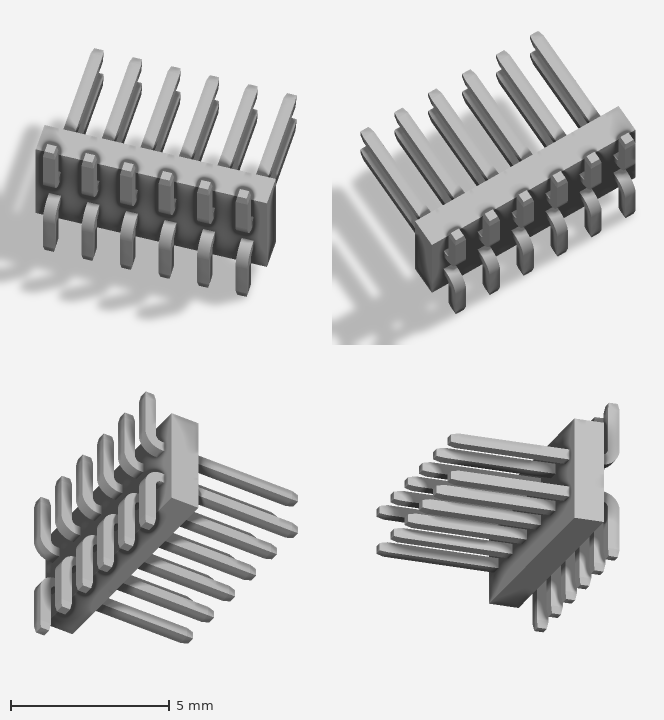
import cadquery as cq


column_count = 6
body_length = 7.62
body_depth = 1.0
body_height = 3.4
pitch = body_length / column_count

pin_width = 0.4
tail_thickness = 0.34
foot_thickness = 0.4
tail_reach = 4.0
foot_reach = 0.7
foot_span = 5.25
inner_bend_radius = 0.2
outer_bend_radius = inner_bend_radius + foot_thickness

tip_length = 0.25
tip_inset = 0.045


def add_tapered_tip(pin, end_selector, thickness):
    """Grow a frustum from the chosen end face, narrowing equally on all four sides."""
    tip = (
        pin.faces(end_selector)
        .workplane(centerOption="CenterOfMass")
        .rect(pin_width, thickness)
        .workplane(offset=tip_length)
        .rect(pin_width - 2 * tip_inset, thickness - 2 * tip_inset)
        .loft(ruled=True, combine=False)
    )
    return pin.union(tip)


def make_upper_pin():
    """Upper-row pin with its foot bent upwards, centred on X = 0."""
    tail_bottom = (pitch - tail_thickness) / 2
    tail_top = tail_bottom + tail_thickness
    tail_shoulder = body_depth + tail_reach - tip_length
    foot_front = -foot_reach
    foot_back = foot_front + foot_thickness
    foot_shoulder = foot_span / 2 - tip_length

    bent_bar = (
        cq.Workplane("YZ")
        .moveTo(tail_shoulder, tail_bottom)
        .lineTo(foot_front + outer_bend_radius, tail_bottom)
        .radiusArc((foot_front, tail_bottom + outer_bend_radius), outer_bend_radius)
        .lineTo(foot_front, foot_shoulder)
        .lineTo(foot_back, foot_shoulder)
        .lineTo(foot_back, tail_top + inner_bend_radius)
        .radiusArc((foot_back + inner_bend_radius, tail_top), -inner_bend_radius)
        .lineTo(tail_shoulder, tail_top)
        .close()
        .extrude(pin_width / 2, both=True)
    )
    with_tail_tip = add_tapered_tip(bent_bar, ">Y", tail_thickness)
    return add_tapered_tip(with_tail_tip, ">Z", foot_thickness)


body = cq.Workplane("XY").box(body_length, body_depth, body_height).translate((0, body_depth / 2, 0))

upper_pin = make_upper_pin()
lower_pin = upper_pin.mirror("XY")

result = body
for column in range(column_count):
    x = (column - (column_count - 1) / 2) * pitch
    for pin in (upper_pin, lower_pin):
        result = result.union(pin.translate((x, 0, 0)))